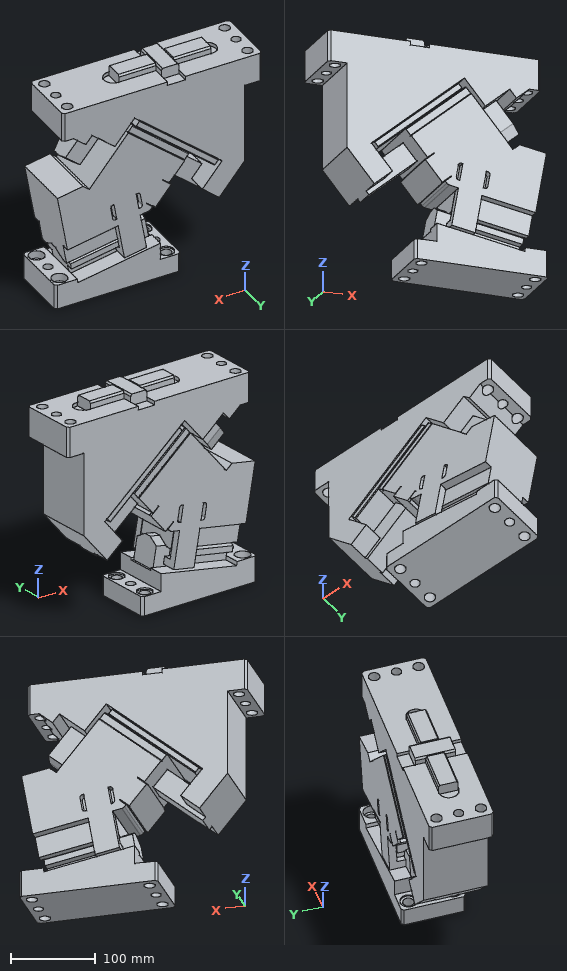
import cadquery as cq
import math


width = 80.0
top_z = 284.0
corner_chamfer = 3.0
bolt_diameter = 13.3
dowel_diameter = 12.0
hole_offset_y = 27.5

slide_angle = 40.0
slide_x = 54.5
slide_z = 138.0

ramp_angle = 10.0
ramp_x = 137.7
ramp_z = 48.3

holder_length = 269.8
flange_bottom = 235.0
holder_top = 274.0
body_left = 23.5
slideway_length = 154.2
hook_depth = 41.5
hook_end = -30.0
toe_along = 194.5
toe_depth = 54.8
holder_hole_x = 13.0
holder_hole_far_x = 257.0

keyway_depth = 4.8
key_width = 24.7
keyway_start = 40.0
keyway_end = 191.7
long_key_start = 54.0
long_key_end = 178.4
cross_key_x = 116.2
cross_key_width = 24.0
cross_key_length = 50.0
key_chamfer_height = 2.8
key_chamfer_width = 1.7

bar_width = 28.0
bar_top = 19.5
bar_bottom = 47.0
stop_start = 160.0
stop_end = 185.5
stop_depth = 89.7
stop_taper_length = 14.2
stop_tip_width = 20.0

wear_width = 78.0
wear_neck_width = 73.8
holder_neck_height = 1.0
slider_neck_height = 0.5
wear_chamfer = 1.0
wear_contact = 9.0
holder_wear_start = 4.8
holder_wear_end = 144.0

driver_left = 110.0
driver_right = 280.0
ledge_z = 25.3
driver_top = 33.8
ramp_length = 113.3
ridge_start = 4.3
ridge_top = 34.6
ridge_flat_width = 10.2
ridge_neck_width = 37.5
ridge_slope = 30.0
ridge_slot_depth = 3.0
wing_start = 26.0
wing_width = 56.8
wing_bottom = 13.3
driver_hole_x = 123.0
driver_hole_far_x = 267.5
counterbore_diameter = 20.0
counterbore_floor = 23.3

slider_start = 49.5
slider_end = 149.0
step_depth = 101.7
slider_run_end = 118.5
slider_top_rise = 131.2
wall_bottom = 52.5
wall_corner_radius = 5.7
pad_start = 45.2
pad_top = 52.0
pad_bottom = 86.5
pad_slit_end = 60.2
pad_slit_width = 0.5
pad_slit_depth = 2.8
shoe_width = 58.8
shoe_bottom = 25.5
leg_start = 18.5
leg_end = 48.8
leg_bottom = 3.5
leg_inner_y = 30.5
hook_inner_y = 19.5
hook_top = wing_bottom
relief_width = 5.0
relief_bottom = 62.8
relief_top = 84.5
relief_radius = 3.5

slide_cos = math.cos(math.radians(slide_angle))
slide_sin = math.sin(math.radians(slide_angle))
ramp_cos = math.cos(math.radians(ramp_angle))
ramp_sin = math.sin(math.radians(ramp_angle))

front_plane = cq.Plane(origin=(0, 0, 0), xDir=(1, 0, 0), normal=(0, -1, 0))
slide_plane = cq.Plane(origin=(slide_x, 0, slide_z), xDir=(slide_cos, 0, slide_sin), normal=(0, 1, 0))
ramp_plane = cq.Plane(origin=(ramp_x, 0, ramp_z), xDir=(ramp_cos, 0, -ramp_sin), normal=(0, -1, 0))


def slide_point(along, down):
    """World (x, z) of a point in the slideway frame."""
    return (slide_x + along * slide_cos + down * slide_sin, slide_z + along * slide_sin - down * slide_cos)


def ramp_point(run, rise):
    """World (x, z) of a point in the ramp frame."""
    return (ramp_x + run * ramp_cos + rise * ramp_sin, ramp_z - run * ramp_sin + rise * ramp_cos)


def plate(plane, points, thickness):
    """A flat polygon on the plane, thickened equally to both sides of Y = 0."""
    return cq.Workplane(plane).polyline(points).close().extrude(thickness / 2, both=True)


def bar(plane, start, end, low, high, thickness):
    """A rectangular bar in a plane's frame, centred on Y = 0."""
    return plate(plane, [(start, low), (end, low), (end, high), (start, high)], thickness)


def side_block(start, end, low, high, inner_y, side):
    """A block in the ramp frame from inner_y out to the side face; side is -1 or 1."""
    depth = width / 2 - inner_y
    block = bar(ramp_plane, start, end, low, high, depth)
    return block.translate((0, side * (inner_y + depth / 2), 0))


def vertical_holes(x, diameter, y_places):
    """Drills through the full height of the unit."""
    return cq.Workplane("XY").pushPoints([(x, y) for y in y_places]).circle(diameter / 2).extrude(top_z)


def wear_plate(start, end, back, face, neck_height):
    """A wear plate on a narrower neck, with chamfered long edges on its sliding face."""
    outward = math.copysign(1, face - back)
    seat = back + outward * neck_height
    neck = bar(slide_plane, start, end, back, seat, wear_neck_width)
    half = wear_width / 2
    shoulder = face - outward * wear_chamfer
    section = [
        (-half, seat),
        (half, seat),
        (half, shoulder),
        (half - wear_chamfer, face),
        (-half + wear_chamfer, face),
        (-half, shoulder),
    ]
    start_x, start_z = slide_point(start, 0)
    section_plane = cq.Plane(
        origin=(start_x, 0, start_z), xDir=(0, -1, 0), normal=(slide_cos, 0, slide_sin)
    )
    return neck.union(cq.Workplane(section_plane).polyline(section).close().extrude(end - start))




def key(length, key_thickness):
    """A key along X, with its two long top edges chamfered, its foot on Z = 0."""
    half = key_thickness / 2
    height = top_z - holder_top + keyway_depth
    section = [
        (-half, 0),
        (half, 0),
        (half, height - key_chamfer_height),
        (half - key_chamfer_width, height),
        (-half + key_chamfer_width, height),
        (-half, height - key_chamfer_height),
    ]
    return cq.Workplane("YZ").polyline(section).close().extrude(length / 2, both=True)


def holder_blank():
    toe_x, toe_z = slide_point(toe_along, toe_depth)
    toe_run = (flange_bottom - toe_z) * slide_cos / slide_sin
    end_x, end_z = slide_point(hook_end, 0)
    body_bottom = end_z + (end_x - body_left) * slide_cos / slide_sin
    outline = [
        (0, holder_top),
        (0, flange_bottom),
        (body_left, flange_bottom),
        (body_left, body_bottom),
        slide_point(hook_end, hook_depth),
        slide_point(0, hook_depth),
        slide_point(0, 0),
        slide_point(slideway_length, 0),
        slide_point(slideway_length, hook_depth),
        slide_point(toe_along, hook_depth),
        (toe_x, toe_z),
        (toe_x + toe_run, flange_bottom),
        (holder_length, flange_bottom),
        (holder_length, holder_top),
    ]
    blank = plate(front_plane, outline, width)
    return blank.edges("|Z").edges("<X or >X").chamfer(corner_chamfer)


def guide_bar():
    rail = bar(slide_plane, hook_end, stop_start, bar_top, bar_bottom, bar_width)
    stop = bar(slide_plane, stop_start, stop_end, bar_top, stop_depth, bar_width)
    taper_inset = (bar_width - stop_tip_width) / 2
    down = cq.Vector(slide_sin, 0, -slide_cos)
    tip = stop.faces(cq.selectors.DirectionMinMaxSelector(down, True))
    return rail.union(tip.edges("#Y").chamfer(taper_inset, stop_taper_length))


def make_holder():
    holder = holder_blank()
    keyway_bottom = holder_top - keyway_depth
    keyway = (
        cq.Workplane("XY", origin=((keyway_start + keyway_end) / 2, 0, keyway_bottom))
        .slot2D(keyway_end - keyway_start, key_width)
        .extrude(keyway_depth)
    )
    cross_keyway = cq.Workplane("XY", origin=(cross_key_x, 0, keyway_bottom)).box(
        cross_key_width, width, keyway_depth, centered=(True, True, False)
    )
    holder = holder.cut(keyway).cut(cross_keyway)
    long_key = key(long_key_end - long_key_start, key_width)
    long_key = long_key.translate(((long_key_start + long_key_end) / 2, 0, keyway_bottom))
    key_gap = cq.Workplane("XY", origin=(cross_key_x, 0, holder_top)).box(
        cross_key_width, width, 2 * (top_z - holder_top)
    )
    holder = holder.union(long_key.cut(key_gap))
    cross_key = key(cross_key_length, cross_key_width).rotate((0, 0, 0), (0, 0, 1), 90)
    holder = holder.union(cross_key.translate((cross_key_x, 0, keyway_bottom)))
    for x in (holder_hole_x, holder_hole_far_x):
        holder = holder.cut(vertical_holes(x, bolt_diameter, (-hole_offset_y, hole_offset_y)))
        holder = holder.cut(vertical_holes(x, dowel_diameter, (0,)))
    holder = holder.union(wear_plate(holder_wear_start, holder_wear_end, 0, wear_contact, holder_neck_height))
    return holder.union(guide_bar())




def ridge_section(neck_bottom, with_wings):
    """Roof-shaped section as (y, rise) points, either plain or widened into wings."""
    slope = math.tan(math.radians(ridge_slope))
    flat = ridge_flat_width / 2
    neck = ridge_neck_width / 2
    wing = wing_width / 2
    if with_wings:
        half = [(neck, neck_bottom), (neck, wing_bottom), (wing, wing_bottom)]
        half += [(wing, ridge_top - (wing - flat) * slope), (flat, ridge_top)]
    else:
        half = [(neck, neck_bottom), (neck, ridge_top - (neck - flat) * slope), (flat, ridge_top)]
    return half + [(-y, rise) for y, rise in reversed(half)]


def ridge(start, end, with_wings):
    start_x, start_z = ramp_point(start, 0)
    section_plane = cq.Plane(
        origin=(start_x, 0, start_z), xDir=(0, 1, 0), normal=(ramp_cos, 0, -ramp_sin)
    )
    section = ridge_section(-ridge_slot_depth, with_wings)
    return cq.Workplane(section_plane).polyline(section).close().extrude(end - start)


def make_driver():
    pocket_x, pocket_z = ramp_point(ramp_length, 0)
    wall_run = (driver_top - pocket_z) * ramp_sin / ramp_cos
    outline = [
        (driver_left, 0),
        (driver_left, ledge_z),
        (ramp_x, ledge_z),
        (ramp_x, ramp_z),
        (pocket_x, pocket_z),
        (pocket_x + wall_run, driver_top),
        (driver_right, driver_top),
        (driver_right, 0),
    ]
    driver = plate(front_plane, outline, width)
    driver = driver.edges("|Z").edges("<X or >X").chamfer(corner_chamfer)
    slot = bar(ramp_plane, -ridge_start, ridge_start, -ridge_slot_depth, ridge_top, ridge_neck_width)
    driver = driver.cut(slot)
    driver = driver.union(ridge(ridge_start, ramp_length, False))
    driver = driver.union(ridge(wing_start, ramp_length, True))
    for x in (driver_hole_x, driver_hole_far_x):
        sides = (-hole_offset_y, hole_offset_y)
        counterbores = vertical_holes(x, counterbore_diameter, sides).translate((0, 0, counterbore_floor))
        driver = driver.cut(vertical_holes(x, bolt_diameter, sides)).cut(counterbores)
        driver = driver.cut(vertical_holes(x, dowel_diameter, (0,)))
    return driver




def slider_head():
    """Full-width upper part, between the slideway and the bottom edge of its side walls."""
    frame_angle = math.radians(slide_angle + ramp_angle)
    origin_rise = (slide_x - ramp_x) * ramp_sin + (slide_z - ramp_z) * ramp_cos
    step_along = (slider_top_rise - origin_rise + step_depth * math.cos(frame_angle)) / math.sin(frame_angle)
    back_down = (origin_rise + slider_start * math.sin(frame_angle) - wall_bottom) / math.cos(frame_angle)
    outline = [
        slide_point(slider_start, bar_top),
        slide_point(slider_end, bar_top),
        slide_point(slider_end, step_depth),
        slide_point(step_along, step_depth),
        ramp_point(slider_run_end, slider_top_rise),
        ramp_point(slider_run_end, wall_bottom),
        slide_point(slider_start, back_down),
    ]
    head = plate(front_plane, outline, width)
    back_x, back_z = outline[-1]
    back_edge = cq.selectors.NearestToPointSelector((back_x, 0, back_z))
    return head.edges("|Y").edges(back_edge).fillet(wall_corner_radius)


def add_back_pad(slider):
    """Adds the pad on the back face and the shallow slits that continue its two edges on the sides."""
    slider = slider.union(bar(slide_plane, pad_start, pad_slit_end, pad_top, pad_bottom, width))
    core = bar(slide_plane, pad_start, pad_slit_end, pad_top, pad_bottom, width - 2 * pad_slit_depth)
    for down in (pad_top, pad_bottom - pad_slit_width):
        slit = bar(slide_plane, pad_start, pad_slit_end, down, down + pad_slit_width, width)
        slider = slider.cut(slit.cut(core))
    return slider


def relief(start, outer_side, side):
    """Recess beside the leg; its two corners away from the leg are rounded."""
    recess = side_block(start, start + relief_width, relief_bottom, relief_top, leg_inner_y, side)
    outer = cq.Vector(outer_side * ramp_cos, 0, -outer_side * ramp_sin)
    return recess.faces(cq.selectors.DirectionMinMaxSelector(outer, True)).edges("|Y").fillet(relief_radius)


def make_slider():
    slider = add_back_pad(slider_head())
    slider = slider.union(wear_plate(slider_start, slider_end, bar_top, wear_contact, slider_neck_height))
    shoe = bar(ramp_plane, leg_start, slider_run_end, shoe_bottom, wall_bottom, shoe_width)
    slider = slider.union(shoe.cut(ridge(0, slider_run_end, True)))
    for side in (-1, 1):
        slider = slider.union(side_block(leg_start, leg_end, leg_bottom, wall_bottom, leg_inner_y, side))
        slider = slider.union(side_block(leg_start, leg_end, leg_bottom, hook_top, hook_inner_y, side))
        slider = slider.cut(relief(leg_start - relief_width, -1, side))
        slider = slider.cut(relief(leg_end, 1, side))
    return slider.cut(bar(slide_plane, pad_start, slider_end, bar_top, bar_bottom, bar_width))


holder = make_holder()
driver = make_driver()
slider = make_slider()

result = cq.Compound.makeCompound([holder.solids().val(), driver.solids().val(), slider.solids().val()])